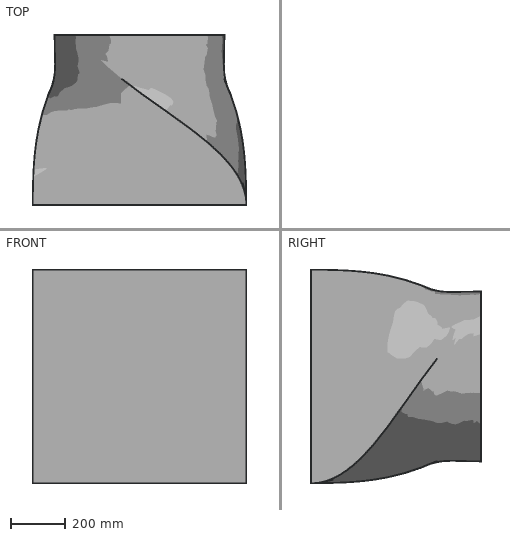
import cadquery as cq
import math

SQUARE_SIDE = 790.0
LENGTH = 630.0
ROUND_DIAMETER = 630.0
HELIX_ANGLE = 42.0
AXIAL_PULL = 1.15

GRID_STEPS = 24
FIT_TOLERANCE = 1e-4
SEW_TOLERANCE = 0.1

QUARTER_TURN = 90.0
ROUND_START_ANGLE = 45.0 + QUARTER_TURN

half_side = SQUARE_SIDE / 2
radius = ROUND_DIAMETER / 2
front_y = -LENGTH / 2
swirl = LENGTH * AXIAL_PULL * math.tan(math.radians(HELIX_ANGLE))


def wall_point(across, along):
    """Point on the top wall: across runs from +X to -X, along from square to round end.

    Cubic Hermite blend, leaving the square end axially and meeting the round end
    along a helix. Both arguments lie between 0 and 1.
    """
    square_x = half_side * (1 - 2 * across)
    square_z = half_side
    angle = math.radians(ROUND_START_ANGLE + QUARTER_TURN * across)
    blend = 3 * along**2 - 2 * along**3
    end_tangent = swirl * (along**3 - along**2)
    x = (1 - blend) * square_x + blend * radius * math.cos(angle) - end_tangent * math.sin(angle)
    z = (1 - blend) * square_z + blend * radius * math.sin(angle) + end_tangent * math.cos(angle)
    axial = along + (AXIAL_PULL - 1) * (along - 3 * along**2 + 2 * along**3)
    return cq.Vector(x, front_y + LENGTH * axial, z)


def make_wall():
    steps = [i / GRID_STEPS for i in range(GRID_STEPS + 1)]
    grid = [[wall_point(across, along) for along in steps] for across in steps]
    return cq.Face.makeSplineApprox(grid, tol=FIT_TOLERANCE, minDeg=3, maxDeg=8)


def make_cap(walls, y):
    """Flat end face bounded by the wall edges that lie at the given y."""
    edges = [edge for wall in walls for edge in wall.Edges()
             if abs(edge.startPoint().y - y) < SEW_TOLERANCE
             and abs(edge.endPoint().y - y) < SEW_TOLERANCE]
    return cq.Face.makeFromWires(cq.Wire.combine(edges, SEW_TOLERANCE)[0])


top_wall = make_wall()
axis_start = cq.Vector(0, 0, 0)
axis_end = cq.Vector(0, 1, 0)
walls = [top_wall.rotate(axis_start, axis_end, QUARTER_TURN * i) for i in range(4)]
caps = [make_cap(walls, front_y), make_cap(walls, front_y + LENGTH)]

shell = cq.occ_impl.shapes.shell(*walls, *caps, tol=SEW_TOLERANCE)
result = cq.Workplane(cq.occ_impl.shapes.solid(shell))